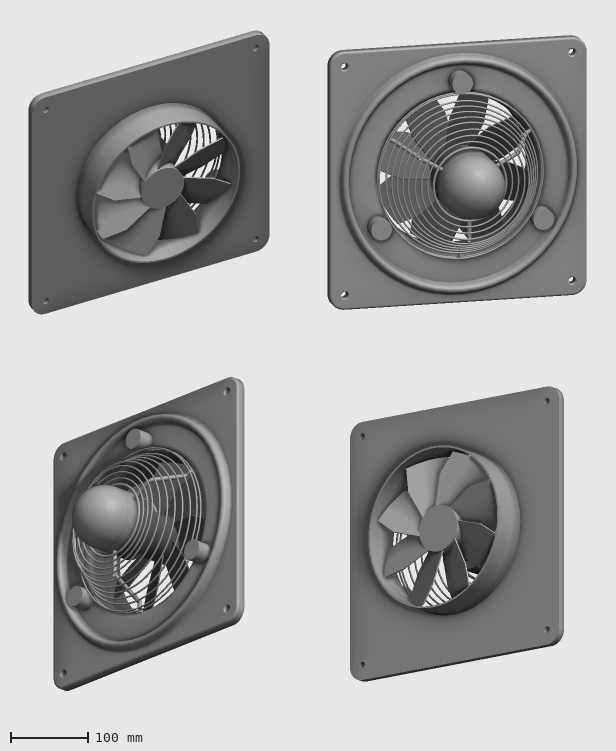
import cadquery as cq
import math


plate_side = 345.0
plate_thickness = 12.5
plate_corner_radius = 20.0
plate_edge_radius = 3.0
plate_front = -plate_thickness

screw_hole_diameter = 9.0
countersink_diameter = 11.7
countersink_angle = 90.0
screw_pitch = plate_side - 2 * plate_corner_radius

bead_radius = 153.2
bead_height = 10.5
bead_crest_radius = 4.5
bead_foot_radius = 3.8
bead_half_width = 9.3

duct_outer_radius = 107.5
duct_wall = 2.5
duct_inner_radius = duct_outer_radius - duct_wall
duct_end = 44.0
flare_length = 7.2
flare_rise = 1.0
inlet_rounding = 11.5

knob_count = 3
knob_radius = 13.8
knob_length = 21.5
knob_circle_radius = 125.5

overall_depth = 172.0
motor_radius = 42.0
motor_nose = duct_end - overall_depth
motor_back = -29.0
hub_radius = 31.0
hub_back = 34.5

blade_count = 8
blade_start_angle = 17.5
blade_pitch = 30.0
blade_thickness = 1.7
blade_middle = 20.7
blade_root = 17.2
blade_root_half_width = 18.3
blade_shoulder = 66.2
blade_shoulder_half_width = 28.3
blade_tip_half_width = 23.5
blade_tip_radius = 101.8

ring_wire_radius = 1.2
hub_ring_wire_radius = 1.7
front_ring_count = 4
front_ring_x = -70.5
front_ring_radius = 48.5
front_ring_step = 8.3
cone_ring_count = 5
cone_front_x = -64.0
cone_front_radius = 81.0
cone_back_x = -29.0
cone_back_radius = 101.5
outer_ring_x = -25.2
outer_ring_radius = 110.0

spoke_count = 3
spoke_radius = 2.93
spoke_inner_radius = 40.7
spoke_front_bend_radius = 75.5
spoke_back_bend_radius = 101.0
spoke_behind_ring = 3.5


def turned(profile):
    """Revolve a closed (x, radius) profile about the fan axis."""
    return profile.close().revolve(360, (0, 0, 0), (1, 0, 0))


def spread(body, count, start_angle=0.0):
    """Copies of a body at equal angles about the fan axis."""
    step = 360 / count
    return [body.rotate((0, 0, 0), (1, 0, 0), start_angle + i * step) for i in range(count)]


def make_plate_blank():
    blank = cq.Workplane("YZ").rect(plate_side, plate_side).extrude(plate_front)
    blank = blank.edges("|X").fillet(plate_corner_radius)
    return blank.faces("<X").edges().fillet(plate_edge_radius)


def make_bead():
    rise = bead_height - bead_crest_radius - bead_foot_radius
    radius_sum = bead_crest_radius + bead_foot_radius
    wall_angle = math.asin(radius_sum / math.hypot(bead_half_width, rise)) + math.atan2(rise, bead_half_width)
    crest_x = plate_front - bead_height
    crest_center_x = crest_x + bead_crest_radius
    foot_center_x = plate_front - bead_foot_radius

    def crest_point(angle, side):
        x = crest_center_x - bead_crest_radius * math.cos(angle)
        return x, bead_radius + side * bead_crest_radius * math.sin(angle)

    def foot_point(angle, side):
        x = foot_center_x + bead_foot_radius * math.cos(angle)
        return x, bead_radius + side * (bead_half_width - bead_foot_radius * math.sin(angle))

    base_x = plate_front / 2
    profile = (
        cq.Workplane("XY")
        .moveTo(base_x, bead_radius - bead_half_width)
        .lineTo(plate_front, bead_radius - bead_half_width)
        .threePointArc(foot_point(wall_angle / 2, -1), foot_point(wall_angle, -1))
        .lineTo(*crest_point(wall_angle, -1))
        .threePointArc((crest_x, bead_radius), crest_point(wall_angle, 1))
        .lineTo(*foot_point(wall_angle, 1))
        .threePointArc(foot_point(wall_angle / 2, 1), (plate_front, bead_radius + bead_half_width))
        .lineTo(base_x, bead_radius + bead_half_width)
    )
    return turned(profile)


def make_duct():
    arc_radius = (flare_length**2 + flare_rise**2) / (2 * flare_rise)
    arc_center_radius = duct_outer_radius + arc_radius
    arc_middle_x = flare_length / 2
    arc_middle_radius = arc_center_radius - math.sqrt(arc_radius**2 - (flare_length - arc_middle_x) ** 2)
    profile = (
        cq.Workplane("XY")
        .moveTo(plate_front / 2, 0)
        .lineTo(plate_front / 2, duct_outer_radius + flare_rise)
        .lineTo(0, duct_outer_radius + flare_rise)
        .threePointArc((arc_middle_x, arc_middle_radius), (flare_length, duct_outer_radius))
        .lineTo(duct_end, duct_outer_radius)
        .lineTo(duct_end, 0)
    )
    return turned(profile)


def make_air_passage():
    inlet_radius = duct_inner_radius + inlet_rounding
    inlet_end = plate_front + inlet_rounding
    rounding_middle = inlet_rounding * math.sqrt(0.5)
    profile = (
        cq.Workplane("XY")
        .moveTo(plate_front, 0)
        .lineTo(plate_front, inlet_radius)
        .threePointArc((inlet_end - rounding_middle, inlet_radius - rounding_middle), (inlet_end, duct_inner_radius))
        .lineTo(duct_end, duct_inner_radius)
        .lineTo(duct_end, 0)
    )
    return turned(profile)


def make_wall_plate():
    plate = make_plate_blank().union(make_bead()).union(make_duct()).cut(make_air_passage())
    return (
        plate.copyWorkplane(cq.Workplane("YZ", origin=(plate_front, 0, 0)))
        .transformed(rotate=(0, 180, 0))
        .rect(screw_pitch, screw_pitch, forConstruction=True)
        .vertices()
        .cskHole(screw_hole_diameter, countersink_diameter, countersink_angle)
    )


def make_knob():
    return (
        cq.Workplane("YZ", origin=(plate_front, 0, 0))
        .center(0, knob_circle_radius)
        .circle(knob_radius)
        .extrude(-knob_length)
    )


def make_motor_and_hub():
    nose_base = motor_nose + motor_radius
    nose_middle = motor_radius * math.sqrt(0.5)
    profile = (
        cq.Workplane("XY")
        .moveTo(motor_nose, 0)
        .threePointArc((nose_base - nose_middle, nose_middle), (nose_base, motor_radius))
        .lineTo(motor_back, motor_radius)
        .lineTo(motor_back, hub_radius)
        .lineTo(hub_back, hub_radius)
        .lineTo(hub_back, 0)
    )
    return turned(profile)


def make_blade():
    stretch = 1 / math.cos(math.radians(blade_pitch))
    right_edge = [
        (blade_root_half_width * stretch, blade_root),
        (blade_shoulder_half_width * stretch, blade_shoulder),
        (blade_tip_half_width * stretch, blade_tip_radius),
    ]
    left_edge = [(-y, z) for y, z in reversed(right_edge)]
    blade = (
        cq.Workplane("YZ")
        .polyline(right_edge + left_edge)
        .close()
        .extrude(blade_thickness / 2, both=True)
        .rotate((0, 0, 0), (0, 0, 1), blade_pitch)
        .translate((blade_middle, 0, 0))
    )
    tip_limit = cq.Workplane("YZ", origin=(blade_middle, 0, 0)).circle(blade_tip_radius)
    return blade.intersect(tip_limit.extrude(blade_tip_radius, both=True))


def make_ring(x, radius, wire_radius=ring_wire_radius):
    return cq.Workplane(cq.Solid.makeTorus(radius, wire_radius, cq.Vector(x, 0, 0), cq.Vector(1, 0, 0)))


def make_guard_rings():
    rings = [make_ring(front_ring_x, front_ring_radius, hub_ring_wire_radius)]
    for i in range(1, front_ring_count):
        rings.append(make_ring(front_ring_x, front_ring_radius + i * front_ring_step))
    step_x = (cone_back_x - cone_front_x) / (cone_ring_count - 1)
    step_radius = (cone_back_radius - cone_front_radius) / (cone_ring_count - 1)
    for i in range(cone_ring_count):
        rings.append(make_ring(cone_front_x + i * step_x, cone_front_radius + i * step_radius))
    for x in (outer_ring_x, outer_ring_x + 2 * spoke_behind_ring):
        rings.append(make_ring(x, outer_ring_radius))
    return rings


def make_spoke():
    front_x = front_ring_x + spoke_behind_ring
    back_x = outer_ring_x + spoke_behind_ring
    path = cq.Workplane("XZ").polyline(
        [
            (front_x, -spoke_inner_radius),
            (front_x, -spoke_front_bend_radius),
            (back_x, -spoke_back_bend_radius),
            (back_x, -outer_ring_radius),
        ]
    )
    section = cq.Workplane("XY", origin=(front_x, 0, -spoke_inner_radius)).circle(spoke_radius)
    return section.sweep(path, transition="round")


def make_fan_with_guard():
    """The motor carries the blade hub behind it and the spokes and rings of the guard around it."""
    fan = make_motor_and_hub()
    for blade in spread(make_blade(), blade_count, blade_start_angle):
        fan = fan.union(blade)
    for spoke in spread(make_spoke(), spoke_count):
        fan = fan.union(spoke)
    for ring in make_guard_rings():
        fan = fan.union(ring)
    return fan


wall_plate = make_wall_plate()
fan_with_guard = make_fan_with_guard()
knobs = spread(make_knob(), knob_count)

result = cq.Compound.makeCompound(
    [wall_plate.val(), fan_with_guard.val(), *[knob.val() for knob in knobs]]
)